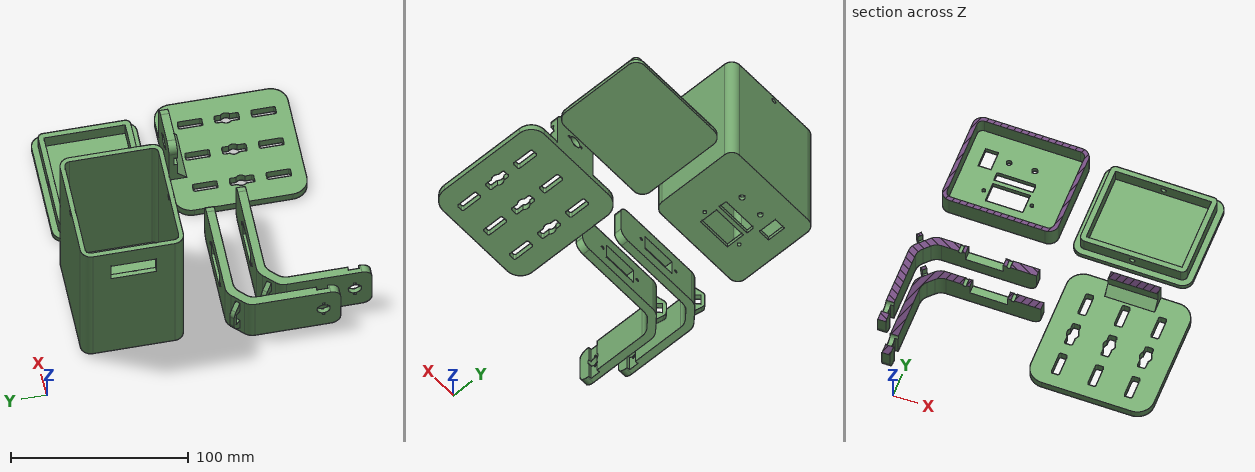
import cadquery as cq
import math

overall_x = 162.52
overall_y = 167.73
overall_z = 97.21
plate_thickness = 5.0
arm_width = 30.0
arm_corner_radius = 5.8
cut_margin = 1.0

servo_length = 22.5
servo_width = 12.0
servo_screw_spacing = 29.0
servo_screw_diameter = 2.0

horn_groove_width = 6.2
horn_groove_depth = 2.0
horn_hub_diameter = 7.5
horn_screw_diameter = 1.5
horn_screw_offset = 4.9

housing_x = 69.7
housing_y = 59.1
housing_height = 94.0
housing_corner_radius = 6.0
housing_wall = 2.75
housing_floor = 3.0
lid_screw_diameter = 3.1
lid_screw_height = 4.0

display_length = 26.0
display_height = 12.0
display_drop = 12.0

switch_x, switch_y = 7.7, 12.0
switch_center = (-20.25, 9.9)
jack_diameter = 3.1
jack_center = (-8.45, 11.7)
led_diameter = 3.4
led_center = (7.0, 11.8)
servo_window_center = (-0.85, -10.4)
slot_x, slot_y = 23.5, 5.2
slot_corner_radius = 1.0
slot_center = (-0.75, 0.7)

lid_x = 71.5
lid_y = 60.5
lid_flange_thickness = 3.0
lid_corner_radius = 6.5
rim_x = 64.0
rim_y = 53.0
rim_height = 8.2
rim_corner_radius = 3.0
rim_wall = 3.2

base_x = 74.0
base_y = 76.5
base_corner_radius = 10.0
tab_offset_x = 1.0
tab_height = 30.0
gusset_leg = 5.3
tab_horn_drop = 12.8
slot_columns = 3
slot_rows = 3
slot_pitch_x = 21.9
slot_pitch_y = 21.1
mount_slot_width = 4.8
mount_slot_length = 14.0
mount_slot_radius = 1.0
slot_grid_center_y = -2.1
keyhole_diameter = 7.0
keyhole_offset_y = 0.5

bracket_x = 73.6
bracket_y = 63.5
bend_leg = 11.1
bend_radius = 8.0
servo_from_corner = 42.1
horn_from_end = 9.8

loop_height = 24.0
loop_reach = 5.8
loop_thickness = 3.0
loop_tip_radius = 6.0
loop_strip = 2.2
loop_window_height = 9.0
loop_root = plate_thickness / 2
loop_direction = 135.0

bracket_step_x = 10.1
bracket_step_y = 19.95
bracket_z = 0.9
housing_left = 3.7
housing_back_gap = 0.4
lid_left = 82.9
base_left = overall_x - base_x
base_front = 19.8
housing_center_y = overall_y - housing_back_gap - housing_y / 2
lid_center_y = overall_y - lid_y / 2
housing_z = overall_z - housing_height
lid_z = 2.8


def rounded_block(size_x, size_y, height, radius):
    """Block on the XY plane, centred in X and Y, with rounded upright edges."""
    return cq.Workplane("XY").rect(size_x, size_y).extrude(height).edges("|Z").fillet(radius)


def horn_cutter():
    """Groove along X on the face Y = 0, hub and screws along Y, centred on the origin."""
    depth = plate_thickness + 2 * cut_margin
    groove = cq.Workplane("XY").box(arm_width + 2 * cut_margin, 2 * horn_groove_depth, horn_groove_width)
    holes = (
        cq.Workplane("XZ", origin=(0, -cut_margin, 0))
        .circle(horn_hub_diameter / 2)
        .pushPoints([(-horn_screw_offset, 0), (horn_screw_offset, 0)])
        .circle(horn_screw_diameter / 2)
        .extrude(-depth)
    )
    return groove.union(holes)


def servo_cutter(depth):
    """Servo window and screw holes, long side along X, from Z = 0 up to depth."""
    half = servo_screw_spacing / 2
    window = cq.Workplane("XY").rect(servo_length, servo_width).extrude(depth)
    screws = (
        cq.Workplane("XY")
        .pushPoints([(-half, 0), (half, 0)])
        .circle(servo_screw_diameter / 2)
        .extrude(depth)
    )
    return window.union(screws)


def make_housing():
    body = rounded_block(housing_x, housing_y, housing_height, housing_corner_radius)
    cavity = rounded_block(
        housing_x - 2 * housing_wall,
        housing_y - 2 * housing_wall,
        housing_height,
        housing_corner_radius - housing_wall,
    ).translate((0, 0, housing_floor))
    body = body.cut(cavity)

    floor_plane = cq.Workplane("XY", origin=(0, 0, -cut_margin))
    floor_depth = housing_floor + 2 * cut_margin
    switch = floor_plane.center(*switch_center).rect(switch_x, switch_y).extrude(floor_depth)
    jack = floor_plane.center(*jack_center).circle(jack_diameter / 2).extrude(floor_depth)
    led = floor_plane.center(*led_center).circle(led_diameter / 2).extrude(floor_depth)
    servo = servo_cutter(floor_depth).translate((*servo_window_center, -cut_margin))
    slot = floor_plane.center(*slot_center).rect(slot_x, slot_y).extrude(floor_depth)
    slot = slot.edges("|Z and >Y").fillet(slot_corner_radius)
    body = body.cut(switch).cut(jack).cut(led).cut(servo).cut(slot)

    display = cq.Workplane("XY").box(2 * housing_wall + 2 * cut_margin, display_length, display_height)
    display_z = housing_height - display_drop - display_height / 2
    body = body.cut(display.translate((-housing_x / 2, 0, display_z)))

    screws = (
        cq.Workplane("XZ", origin=(0, -housing_y, 0))
        .center(0, housing_height - lid_screw_height)
        .circle(lid_screw_diameter / 2)
        .extrude(-2 * housing_y)
    )
    return body.cut(screws)


def make_lid():
    flange = rounded_block(lid_x, lid_y, lid_flange_thickness, lid_corner_radius)
    rim = rounded_block(rim_x, rim_y, rim_height, rim_corner_radius)
    pocket = cq.Workplane("XY").rect(rim_x - 2 * rim_wall, rim_y - 2 * rim_wall).extrude(rim_height)
    screws = (
        cq.Workplane("XZ", origin=(0, -lid_y, 0))
        .center(0, lid_screw_height)
        .circle(lid_screw_diameter / 2)
        .extrude(-2 * lid_y)
    )
    rim = rim.cut(pocket).cut(screws).translate((0, 0, lid_flange_thickness))
    return flange.union(rim)


def make_base():
    plate = rounded_block(base_x, base_y, plate_thickness, base_corner_radius)

    tab_top = plate_thickness + tab_height
    tab = (
        cq.Workplane("XY")
        .box(arm_width, plate_thickness, tab_top, centered=(True, False, False))
        .edges("|Y and >Z")
        .fillet(arm_corner_radius)
    )
    gusset = (
        cq.Workplane("YZ", origin=(-arm_width / 2, 0, plate_thickness))
        .polyline([(0, 0), (-gusset_leg, 0), (0, gusset_leg)])
        .close()
        .extrude(arm_width)
    )
    horn = horn_cutter().translate((0, 0, tab_top - tab_horn_drop))
    tab = tab.union(gusset).cut(horn)
    plate = plate.union(tab.translate((tab_offset_x, base_y / 2 - plate_thickness, 0)))

    slots = (
        cq.Workplane("XY")
        .rarray(slot_pitch_x, slot_pitch_y, slot_columns, slot_rows)
        .rect(mount_slot_width, mount_slot_length)
        .extrude(plate_thickness)
        .edges("|Z")
        .fillet(mount_slot_radius)
    )
    keyholes = (
        cq.Workplane("XY", origin=(0, keyhole_offset_y, 0))
        .rarray(slot_pitch_x, slot_pitch_y, slot_columns, 1)
        .circle(keyhole_diameter / 2)
        .extrude(plate_thickness)
    )
    return plate.cut(slots.union(keyholes).translate((0, slot_grid_center_y, 0)))


def make_loop():
    """Cable loop: reaches along +X, with a root behind X = 0, upright in Z, thickness along Y."""
    half = loop_height / 2
    tip_half = half - loop_reach
    outline = [(0, -half), (loop_reach, -tip_half), (loop_reach, tip_half), (0, half)]
    plane = cq.Workplane("XZ", origin=(0, loop_thickness / 2, 0))
    plate = plane.polyline(outline).close().extrude(loop_thickness)
    plate = plate.edges("|Y and >X").fillet(loop_tip_radius)
    root = plane.center(-loop_root / 2, 0).rect(loop_root, loop_height).extrude(loop_thickness)
    window_reach = loop_reach - loop_strip
    window = plane.center(window_reach / 2, 0).rect(window_reach, loop_window_height).extrude(loop_thickness)
    return plate.cut(window).union(root)


def make_bracket():
    """L bracket with its outer corner at the origin, arms along +X and -Y."""
    inner_leg = bend_leg - (2 - math.sqrt(2)) * plate_thickness
    inner = plate_thickness
    outer_bend = [(bend_leg, 0), (0, -bend_leg)]
    inner_bend = [(inner, -inner - inner_leg), (inner + inner_leg, -inner)]
    outline = [
        (bracket_x, 0),
        *outer_bend,
        (0, -bracket_y),
        (inner, -bracket_y),
        *inner_bend,
        (bracket_x, -inner),
    ]
    body = cq.Workplane("XY").polyline(outline).close().extrude(arm_width)
    mid_z = arm_width / 2
    for x, y in outer_bend + inner_bend:
        corner_edge = cq.selectors.NearestToPointSelector((x, y, mid_z))
        body = body.edges(corner_edge).fillet(bend_radius)
    body = body.faces(">X").edges("|Y").fillet(arm_corner_radius)
    body = body.faces("<Y").edges("|X").fillet(arm_corner_radius)

    servo = servo_cutter(plate_thickness).rotate((0, 0, 0), (1, 0, 0), 90)
    body = body.cut(servo.translate((servo_from_corner, 0, mid_z)))

    horn = horn_cutter().rotate((0, 0, 0), (0, 1, 0), 90).rotate((0, 0, 0), (0, 0, 1), 90)
    body = body.cut(horn.translate((plate_thickness, horn_from_end - bracket_y, mid_z)))

    loop = make_loop().rotate((0, 0, 0), (0, 0, 1), loop_direction)
    return body.union(loop.translate((bend_leg / 2, -bend_leg / 2, mid_z)))


housing = make_housing().translate((housing_left + housing_x / 2, housing_center_y, housing_z))
lid = make_lid().translate((lid_left + lid_x / 2, lid_center_y, lid_z))
base = make_base().translate((base_left + base_x / 2, base_front + base_y / 2, 0))

bracket_count = 2
brackets = []
for step in range(bracket_count):
    corner_x = step * bracket_step_x
    corner_y = bracket_y + (bracket_count - 1 - step) * bracket_step_y
    brackets.append(make_bracket().translate((corner_x, corner_y, bracket_z)))

bodies = [housing, lid, base, *brackets]
result = cq.Compound.makeCompound([body.val() for body in bodies])